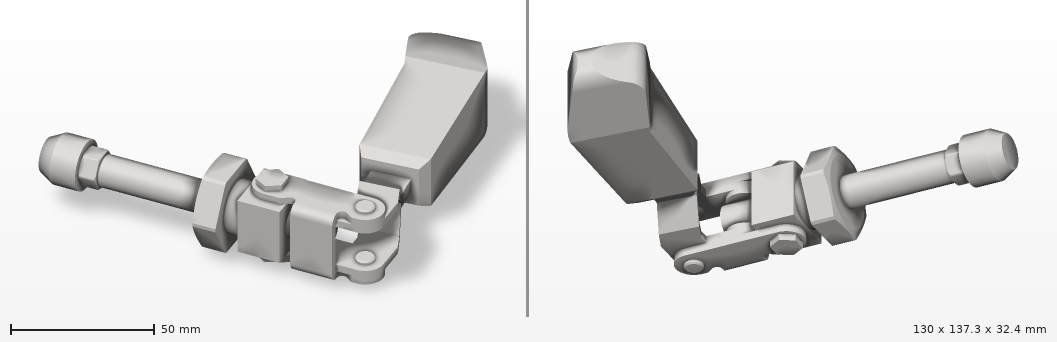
import cadquery as cq
import math


cap_length = 15.4
hex_length = 6.7
plunger_start = cap_length + hex_length
plunger_end = 109.8
nut_start = 63.3
nut_thickness = 9.9
block_start = 78.8
block_end = 95.1

cap_radius = 9.5
cap_tip_radius = 6.6
cap_cone_length = 5.5
hex_across_flats = 12.9
hex_corner_radius = 7.3
hex_chamfer = 0.5

plunger_radius = 6.0
plunger_chamfer = 0.7
neck_radius = 10.0
block_width = 22.0

nut_across_flats = 29.9
nut_corner_radius = 16.9
nut_face_radius = 13.5
nut_chamfer_depth = 1.0

sheet = 2.9
plate_outer = 13.7
plate_inner = plate_outer - sheet
leg_inner = plate_inner - sheet

plate_half_width = 7.0
screw_x = 87.0
rivet_x = 123.0
web_start = 99.1
web_end = 115.3
web_outer_y = -10.7
bend_radius = 3.5
relief_radius = 1.9
relief_centre_y = -6.7
relief_ramp_angle = 35
screw_across_flats = 10.0
screw_head_height = 2.5
rivet_radius = 3.6
rivet_head_height = 1.5
rivet_chamfer = 0.5

lever_tilt = 5
eye_x = 102.8
arm_left_x = 114.8
arm_right_x = rivet_x + plate_half_width
arm_left_bend_y = 11.0
arm_right_bend_y = 12.0
leg_bend_v = 19.1
shank_start_v = leg_bend_v + leg_inner
shank_left_u = -11.5
shank_right_u = 3.5

grip_start_v = 36.9
grip_shoulder_v = 41.2
grip_crest_v = 92.5
grip_end_v = 121.2
grip_start_half = 7.7
grip_shoulder_half = 10.0
grip_crest_half = 13.5
grip_end_half = 6.9
grip_tip_radius = 6.9
grip_corner_radius = 6.2
grip_back_radius = 16.5
grip_start_left_u = -15.1
grip_start_right_u = 6.3
grip_shoulder_left_u = -17.3
grip_shoulder_right_u = 9.2
grip_back_bend = (10.5, 95.8)
grip_tip_right = (-3.5, 124.1)
grip_tip_left = (-25.4, 112.8)
grip_front_bend = (-18.1, 88.5)

tilt = math.radians(lever_tilt)
across_direction = cq.Vector(math.cos(tilt), math.sin(tilt), 0)
along_direction = cq.Vector(-math.sin(tilt), math.cos(tilt), 0)
outline_plane = cq.Plane(origin=(rivet_x, 0, 0), xDir=across_direction, normal=(0, 0, 1))
profile_plane = cq.Plane(origin=(rivet_x, 0, 0), xDir=along_direction, normal=across_direction)
clear_reach = 41.2


def axial_cylinder(start, end, radius):
    """Cylinder on the plunger axis between two X stations."""
    return cq.Workplane("YZ").workplane(offset=start).circle(radius).extrude(end - start)


def axial_hexagon(start, length, across_flats):
    """Hexagonal prism on the plunger axis with its corners toward +Y and -Y."""
    corner_diameter = across_flats / math.cos(math.pi / 6)
    return cq.Workplane("YZ").workplane(offset=start).polygon(6, corner_diameter).extrude(length)


def mirrored_outline(upper_points):
    """Closed outline points from an upper chain and its reflection; points on the axis are kept once."""
    lower_points = [(along, -height) for along, height in reversed(upper_points) if height > 0]
    return upper_points + lower_points


def round_ended_plate(first_x, second_x, bottom, top):
    """Flat link with full-round ends about two axes parallel to Z."""
    span = second_x - first_x
    return (
        cq.Workplane("XY")
        .workplane(offset=bottom)
        .center((first_x + second_x) / 2, 0)
        .slot2D(span + 2 * plate_half_width, 2 * plate_half_width)
        .extrude(top - bottom)
    )


def with_mirror_copy(upper):
    """A feature above the mid-plane together with its reflection below it."""
    return upper.union(upper.mirror("XY"))


def make_spindle():
    """Coned pressure cap with a hexagon behind it."""
    cap = (
        cq.Workplane("XY")
        .polyline([
            (0, 0),
            (0, cap_tip_radius),
            (cap_cone_length, cap_radius),
            (cap_length, cap_radius),
            (cap_length, 0),
        ])
        .close()
        .revolve(360, (0, 0, 0), (1, 0, 0))
    )
    rounding = axial_cylinder(cap_length, plunger_start, hex_corner_radius).edges().chamfer(hex_chamfer)
    return cap.union(axial_hexagon(cap_length, hex_length, hex_across_flats).intersect(rounding))


def make_plunger():
    """Round push rod with a chamfered front end."""
    rod = axial_cylinder(plunger_start, plunger_end, plunger_radius)
    return rod.faces("<X").chamfer(plunger_chamfer)


def make_nut():
    """Hexagon nut on the housing neck, coned on its front face."""
    nut_end = nut_start + nut_thickness
    rounding = (
        axial_cylinder(nut_start, nut_end, nut_corner_radius)
        .faces("<X")
        .edges()
        .chamfer(nut_chamfer_depth, nut_corner_radius - nut_face_radius)
    )
    nut = axial_hexagon(nut_start, nut_thickness, nut_across_flats).intersect(rounding)
    return nut.cut(axial_cylinder(nut_start, nut_end, neck_radius))


def make_housing():
    """Square block and round neck, bored through for the plunger."""
    block = cq.Workplane("XY").box(
        block_end - block_start, block_width, 2 * plate_inner, centered=(False, True, True)
    ).translate((block_start, 0, 0))
    neck = axial_cylinder(nut_start, block_start, neck_radius)
    return block.union(neck).cut(axial_cylinder(nut_start, block_end, plunger_radius))


def make_bend_relief():
    """Notch in the plate edges where the web begins, ramped on the side away from the web."""
    ramp = math.radians(relief_ramp_angle)
    centre_x = web_start - relief_radius
    tangent_x = centre_x - relief_radius * math.sin(ramp)
    tangent_y = relief_centre_y + relief_radius * math.cos(ramp)
    ramp_foot_x = tangent_x - (tangent_y + plate_half_width) / math.tan(ramp)
    return (
        cq.Workplane("XY")
        .moveTo(web_start, -plate_half_width)
        .lineTo(web_start, relief_centre_y)
        .threePointArc((centre_x, relief_centre_y + relief_radius), (tangent_x, tangent_y))
        .lineTo(ramp_foot_x, -plate_half_width)
        .close()
        .extrude(plate_outer, both=True)
    )


def make_web():
    """Channel that joins the two plates along -Y, with rounded bends."""
    channel = (
        cq.Workplane("XY")
        .box(web_end - web_start, -web_outer_y, 2 * plate_outer, centered=(False, False, True))
        .translate((web_start, web_outer_y, 0))
        .edges("|X and <Y")
        .fillet(bend_radius)
    )
    inside = (
        cq.Workplane("XY")
        .box(web_end - web_start, -web_outer_y - sheet, 2 * plate_inner, centered=(False, False, True))
        .translate((web_start, web_outer_y + sheet, 0))
        .edges("|X and <Y")
        .fillet(bend_radius - sheet)
    )
    return channel.cut(inside)


def make_screw_head():
    """Hexagon head on the outside of the upper plate, corners toward +Y and -Y."""
    corner_diameter = screw_across_flats / math.cos(math.pi / 6)
    return (
        cq.Workplane("XY")
        .polygon(6, corner_diameter)
        .extrude(screw_head_height)
        .rotate((0, 0, 0), (0, 0, 1), 90)
        .translate((screw_x, 0, plate_outer))
    )


def make_rivet():
    """Chamfered rivet through the upper plate and the lever leg below it."""
    rivet_bottom = leg_inner - rivet_head_height
    rivet_top = plate_outer + rivet_head_height
    return (
        cq.Workplane("XY")
        .workplane(offset=rivet_bottom)
        .center(rivet_x, 0)
        .circle(rivet_radius)
        .extrude(rivet_top - rivet_bottom)
        .edges()
        .chamfer(rivet_chamfer)
    )


def make_bracket():
    """Two link plates with web, screw heads and rivets."""
    bracket = with_mirror_copy(round_ended_plate(screw_x, rivet_x, plate_inner, plate_outer))
    bracket = bracket.union(make_web())
    front_relief = make_bend_relief()
    rear_relief = front_relief.mirror("YZ", ((web_start + web_end) / 2, 0, 0))
    bracket = bracket.cut(front_relief).cut(rear_relief)
    return bracket.union(with_mirror_copy(make_screw_head())).union(with_mirror_copy(make_rivet()))


def make_lever_arm():
    """Forked sheet arm: two legs that bend together into one double-thickness shank."""
    inner_bend_v = leg_bend_v - sheet * math.tan(math.pi / 8)
    fork_profile = mirrored_outline([
        (inner_bend_v + leg_inner, 0),
        (inner_bend_v, leg_inner),
        (-clear_reach, leg_inner),
        (-clear_reach, plate_inner),
        (leg_bend_v, plate_inner),
        (shank_start_v, sheet),
        (grip_start_v, sheet),
    ])
    fork = cq.Workplane(profile_plane).polyline(fork_profile).close().extrude(clear_reach, both=True)

    shank_corners = [
        outline_plane.toWorldCoords(corner).toTuple()[:2]
        for corner in [
            (shank_left_u, shank_start_v),
            (shank_left_u, grip_start_v),
            (shank_right_u, grip_start_v),
            (shank_right_u, shank_start_v),
        ]
    ]
    arm_outline = [(arm_left_x, 0), (arm_left_x, arm_left_bend_y), *shank_corners]
    arm_outline += [(arm_right_x, arm_right_bend_y), (arm_right_x, 0)]
    outline = cq.Workplane("XY").polyline(arm_outline).close().extrude(plate_inner, both=True)
    return fork.intersect(outline)


def make_lever():
    """Lever arm with link legs that reach forward to eyes beside the plunger."""
    leg = round_ended_plate(eye_x, rivet_x, leg_inner, plate_inner)
    eye = (
        cq.Workplane("XY")
        .workplane(offset=plunger_radius)
        .center(eye_x, 0)
        .circle(plate_half_width)
        .extrude(leg_inner - plunger_radius)
    )
    lever = make_lever_arm().union(with_mirror_copy(leg.union(eye)))
    return lever.cut(with_mirror_copy(make_rivet()))


def make_grip():
    """Hand grip: the outline seen along Z crossed with the thickness profile seen along u."""
    outline = (
        cq.Workplane(outline_plane)
        .polyline([
            (grip_start_left_u, grip_start_v),
            (grip_start_right_u, grip_start_v),
            (grip_shoulder_right_u, grip_shoulder_v),
            grip_back_bend,
            grip_tip_right,
            grip_tip_left,
            grip_front_bend,
            (grip_shoulder_left_u, grip_shoulder_v),
        ])
        .close()
        .extrude(grip_crest_half, both=True)
    )

    def upright_edge_at(corner):
        return cq.selectors.NearestToPointSelector(outline_plane.toWorldCoords(corner).toTuple())

    for corner, radius in [
        (grip_back_bend, grip_back_radius),
        (grip_tip_right, grip_corner_radius),
        (grip_tip_left, grip_corner_radius),
    ]:
        outline = outline.edges("|Z").edges(upright_edge_at(corner)).fillet(radius)

    thickness_points = mirrored_outline([
        (grip_start_v, grip_start_half),
        (grip_shoulder_v, grip_shoulder_half),
        (grip_crest_v, grip_crest_half),
        (grip_end_v, grip_end_half),
    ])
    thickness = (
        cq.Workplane(profile_plane)
        .polyline(thickness_points)
        .close()
        .extrude(clear_reach, both=True)
        .faces(cq.selectors.DirectionMinMaxSelector(along_direction))
        .edges(cq.selectors.ParallelDirSelector(across_direction))
        .fillet(grip_tip_radius)
    )
    return outline.intersect(thickness)


spindle = make_spindle()
plunger = make_plunger()
nut = make_nut()
housing = make_housing()
bracket = make_bracket()
lever = make_lever()
grip = make_grip()

result = cq.Compound.makeCompound([
    spindle.solids().val(),
    plunger.solids().val(),
    nut.solids().val(),
    housing.solids().val(),
    bracket.solids().val(),
    lever.solids().val(),
    grip.solids().val(),
])